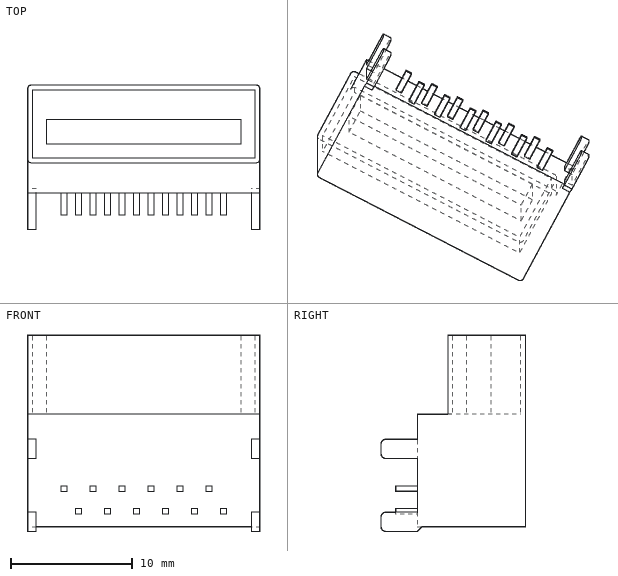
import cadquery as cq

width = 19.1
depth = 11.9
height = 16.15

leg_drop = 0.38
housing_height = height - leg_drop
leg_length = 3.0
base_depth = depth - leg_length
shroud_depth = 6.4
shroud_height = 6.5
base_height = housing_height - shroud_height
corner_radius = 0.3

back_y = depth / 2
base_front_y = back_y - base_depth
shroud_front_y = back_y - shroud_depth

wall = 0.4
cavity_depth = shroud_height
tongue_width = 16.0
tongue_depth = 2.0
tongue_back_gap = 2.85

leg_width = 0.7
leg_height = 1.6
leg_spacing = 6.0
leg_tip_radius = 0.42

pin_count = 12
pin_span = 13.12
pin_pitch = pin_span / (pin_count - 1)
pin_width = 0.52
pin_height = 0.45
pin_length = 1.8
lower_row_z = 1.3
row_spacing = 1.85


def box(size_x, size_y, size_z, center_x, front_y, bottom_z):
    """Box centred on center_x, with its front face and underside at the given places."""
    block = cq.Workplane("XY").box(size_x, size_y, size_z, centered=(True, False, False))
    return block.translate((center_x, front_y, bottom_z))


def make_housing():
    shroud = box(width, shroud_depth, housing_height, 0, shroud_front_y, 0)
    shroud = shroud.edges("|Z").fillet(corner_radius)
    base = box(width, base_depth, base_height, 0, base_front_y, 0)
    base = base.edges("|Z and >Y").fillet(corner_radius)
    cavity = box(
        width - 2 * wall,
        shroud_depth - 2 * wall,
        cavity_depth,
        0,
        shroud_front_y + wall,
        housing_height - cavity_depth,
    )
    tongue_front_y = back_y - tongue_back_gap - tongue_depth
    tongue = box(
        tongue_width,
        tongue_depth,
        cavity_depth,
        0,
        tongue_front_y,
        housing_height - cavity_depth,
    )
    return base.union(shroud).cut(cavity).union(tongue)


def make_leg(center_x, bottom_z):
    """Flat leg with a rounded tip, rooted in the front of the base."""
    leg = box(leg_width, leg_length + leg_drop, leg_height, center_x, -depth / 2, bottom_z)
    leg = leg.edges("|X and <Y").fillet(leg_tip_radius)
    if bottom_z < 0:
        leg = leg.edges("|X and >Y and <Z").chamfer(leg_drop)
    return leg


def make_pin(index):
    center_x = index * pin_pitch - pin_span / 2
    is_upper = index % 2 == 0
    center_z = lower_row_z + (row_spacing if is_upper else 0)
    return box(
        pin_width,
        pin_length,
        pin_height,
        center_x,
        base_front_y - pin_length,
        center_z - pin_height / 2,
    )


result = make_housing()
for side in (-1, 1):
    for leg_bottom_z in (-leg_drop, leg_spacing - leg_drop):
        result = result.union(make_leg(side * (width - leg_width) / 2, leg_bottom_z))
for pin_index in range(pin_count):
    result = result.union(make_pin(pin_index))